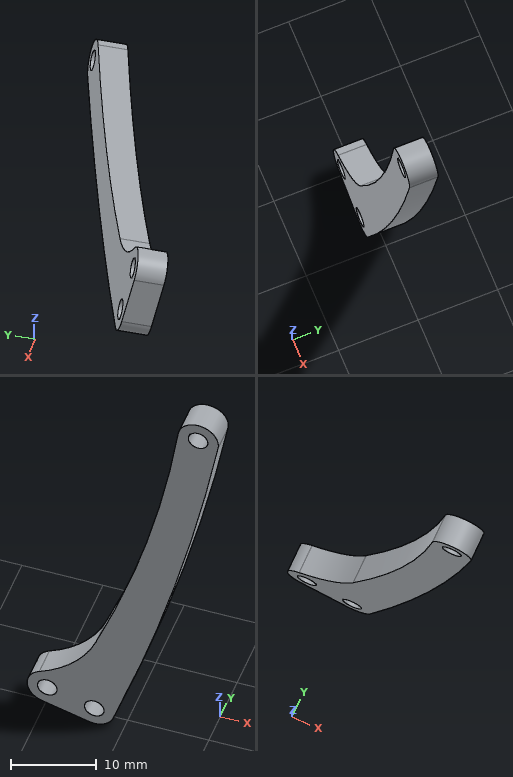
import math

import cadquery as cq

thickness = 3.6
end_radius = 2.5
hole_diameter = 2.4

toe_distance = 6.0
toe_angle = 165.0
tip_distance = 50.0
tip_height = 48.335

outer_radius = 290.0
inner_radius = 155.0
inner_start_angle = 172.2
throat_radius = 13.0


def polar(origin, distance, angle):
    """Point at a distance and angle (degrees) from an origin."""
    radians = math.radians(angle)
    return (origin[0] + distance * math.cos(radians), origin[1] + distance * math.sin(radians))


def direction(start, end):
    """Angle in degrees of the line from start to end."""
    return math.degrees(math.atan2(end[1] - start[1], end[0] - start[0]))


def left_centre(first, first_radius, second, second_radius):
    """Intersection of two circles, on the left going from first to second."""
    span = math.dist(first, second)
    along = (first_radius**2 - second_radius**2 + span**2) / (2 * span)
    offset = math.degrees(math.acos(along / first_radius))
    return polar(first, first_radius, direction(first, second) + offset)


def arc_middle(centre, radius, start, end):
    """Point halfway along the shorter arc between two points of a circle."""
    chord_middle = ((start[0] + end[0]) / 2, (start[1] + end[1]) / 2)
    return polar(centre, radius, direction(centre, chord_middle))


heel = (0.0, 0.0)
toe = polar(heel, toe_distance, toe_angle)
tip = (math.sqrt(tip_distance**2 - tip_height**2), tip_height)

centre_distance = outer_radius - end_radius
outer_centre = left_centre(heel, centre_distance, tip, centre_distance)
outer_bottom = polar(heel, end_radius, direction(outer_centre, heel))
outer_top = polar(tip, end_radius, direction(outer_centre, tip))
outer_middle = arc_middle(outer_centre, outer_radius, outer_bottom, outer_top)

inner_centre = polar(tip, inner_radius + end_radius, inner_start_angle)
inner_top = polar(tip, end_radius, inner_start_angle)

throat_centre = left_centre(inner_centre, inner_radius - throat_radius, toe, throat_radius + end_radius)
inner_bottom = polar(inner_centre, inner_radius, direction(inner_centre, throat_centre))
inner_middle = arc_middle(inner_centre, inner_radius, inner_bottom, inner_top)
toe_top = polar(toe, end_radius, direction(toe, throat_centre))
throat_middle = arc_middle(throat_centre, throat_radius, inner_bottom, toe_top)

foot_angle = direction(toe, heel) - 90
toe_bottom = polar(toe, end_radius, foot_angle)
heel_bottom = polar(heel, end_radius, foot_angle)

toe_middle = polar(toe, end_radius, direction(heel, toe))
heel_middle = arc_middle(heel, end_radius, heel_bottom, outer_bottom)
tip_middle = polar(tip, end_radius, direction(heel, tip))


def make_plate():
    """Curved lever outline extruded along +Y from the XZ plane."""
    outline = (
        cq.Workplane("XZ")
        .moveTo(*heel_bottom)
        .threePointArc(heel_middle, outer_bottom)
        .threePointArc(outer_middle, outer_top)
        .threePointArc(tip_middle, inner_top)
        .threePointArc(inner_middle, inner_bottom)
        .threePointArc(throat_middle, toe_top)
        .threePointArc(toe_middle, toe_bottom)
        .close()
    )
    return outline.extrude(-thickness)


def make_holes():
    """Through holes concentric with the three rounded ends."""
    centres = [heel, toe, tip]
    return cq.Workplane("XZ").pushPoints(centres).circle(hole_diameter / 2).extrude(-thickness)


result = make_plate().cut(make_holes())